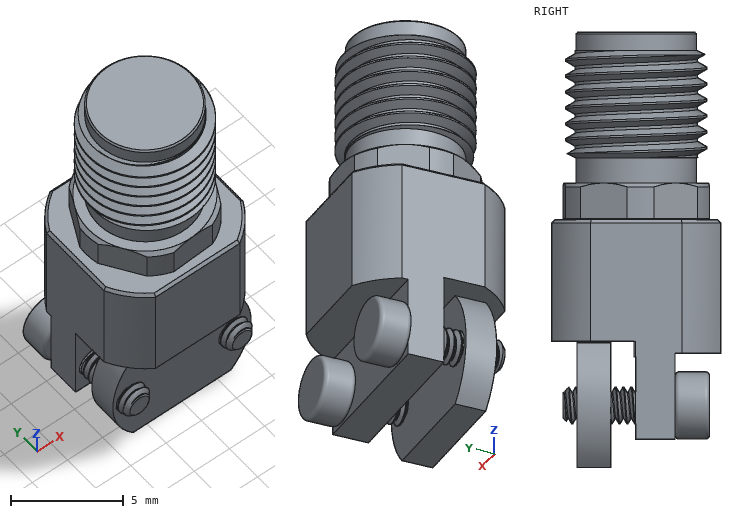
import cadquery as cq
import math

OVERALL_HEIGHT = 19.32

HOUSING_WIDTH = 7.92
HOUSING_DEPTH = 7.5
HOUSING_CORNER_RADIUS = 4.45
HOUSING_TOP = 5.4
HOUSING_TOP_CHAMFER = 0.14
HOUSING_BACK_UNDERSIDE = -0.53
LEG_BOTTOM = -4.34
LEG_FRONT = -0.03
LEG_BACK = 1.72

HEX_ACROSS_FLATS = 6.4
HEX_CORNER_RADIUS = 3.4
HEX_TURN = 33.3
HEX_BOTTOM = HOUSING_TOP + 0.05
HEX_TOP = 7.03
HEX_CHAMFER_WIDTH = 0.2
HEX_CHAMFER_HEIGHT = 0.17
BARREL_RADIUS = 2.68
BARREL_TOP = 13.72
BARREL_CHAMFER = 0.08
BARREL_THREAD_BOTTOM = 8.14
BARREL_THREAD_TOP = 12.92
BARREL_THREAD_RADIUS = 3.14
BARREL_THREAD_ROOT = 2.72
BARREL_THREAD_PITCH = 25.4 / 36
BARREL_CREST_HEIGHT = 8.42
BARREL_THREAD_END_ANGLE = 30
CENTRE_PIN_RADIUS = 0.1
CENTRE_PIN_BOTTOM = -0.7

PLATE_FRONT = -2.63
PLATE_THICKNESS = 1.5
PLATE_RADIUS = 3.93
PLATE_TOP = -0.05
PLATE_BOTTOM = BARREL_TOP - OVERALL_HEIGHT
PLATE_MIDDLE = (PLATE_TOP + PLATE_BOTTOM) / 2

SCREW_SPACING = 5.83
SCREW_PLACES = (-SCREW_SPACING / 2, SCREW_SPACING / 2)
SCREW_HEIGHT = -2.84
SCREW_RADIUS = 0.82
SCREW_ROOT = 0.6
SCREW_PITCH = 0.35
SCREW_CREST_OFFSET = 0.1
SCREW_TIP = -3.26
SCREW_TIP_RADIUS = 0.55
HEAD_RADIUS = 1.5
HEAD_BACK = 3.26
HEAD_FILLET = 0.2

THREAD_FLANK_ANGLE = 30
CREST_WIDTH_RATIO = 1 / 8
THREAD_EMBED = 0.05
SLEEVE_CLEARANCE = 0.1


def thread_ridge(radius, root, pitch, start, end):
    """Right-handed V-shaped ridge round Z, sunk into its core; its crest starts on +X at `start`."""
    half_crest = pitch * CREST_WIDTH_RATIO / 2
    inner = root - THREAD_EMBED
    half_base = half_crest + (radius - inner) * math.tan(math.radians(THREAD_FLANK_ANGLE))
    helix = cq.Wire.makeHelix(pitch, end - start, root)
    ridge = (
        cq.Workplane("XZ")
        .moveTo(inner, -half_base)
        .lineTo(radius, -half_crest)
        .lineTo(radius, half_crest)
        .lineTo(inner, half_base)
        .close()
        .sweep(cq.Workplane(helix), isFrenet=True)
    )
    return ridge.translate((0, 0, start))


def cylinder(radius, bottom, top):
    return cq.Workplane("XY").workplane(offset=bottom).circle(radius).extrude(top - bottom)


def y_cylinder(radius, x, z, back, front):
    return cq.Workplane("XZ", origin=(x, back, z)).circle(radius).extrude(back - front)


def box_between(x, y, z):
    return (
        cq.Workplane("XY")
        .box(x[1] - x[0], y[1] - y[0], z[1] - z[0], centered=False)
        .translate((x[0], y[0], z[0]))
    )


def build_housing():
    half_width = HOUSING_WIDTH / 2
    half_depth = HOUSING_DEPTH / 2
    body = (
        cq.Workplane("XY")
        .workplane(offset=LEG_BOTTOM)
        .rect(HOUSING_WIDTH, HOUSING_DEPTH)
        .extrude(HOUSING_TOP - LEG_BOTTOM)
        .intersect(cylinder(HOUSING_CORNER_RADIUS, LEG_BOTTOM, HOUSING_TOP))
        .faces(">Z")
        .chamfer(HOUSING_TOP_CHAMFER)
    )
    sides = (-half_width, half_width)
    front_step = box_between(sides, (-half_depth, LEG_FRONT), (LEG_BOTTOM, 0))
    back_step = box_between(sides, (LEG_BACK, half_depth), (LEG_BOTTOM, HOUSING_BACK_UNDERSIDE))
    body = body.cut(front_step).cut(back_step)
    body = body.cut(cylinder(CENTRE_PIN_RADIUS, CENTRE_PIN_BOTTOM, HOUSING_TOP))
    for x in SCREW_PLACES:
        body = body.cut(y_cylinder(SCREW_RADIUS, x, SCREW_HEIGHT, LEG_BACK, LEG_FRONT))
    return body


def build_hex():
    height = HEX_TOP - HEX_BOTTOM
    prism = (
        cq.Workplane("XY")
        .workplane(offset=HEX_BOTTOM)
        .polygon(6, HEX_ACROSS_FLATS, circumscribed=True)
        .extrude(height)
        .rotate((0, 0, 0), (0, 0, 1), HEX_TURN)
    )
    corners = (
        cylinder(HEX_CORNER_RADIUS, HEX_BOTTOM, HEX_TOP)
        .faces(">Z")
        .chamfer(HEX_CHAMFER_HEIGHT, HEX_CHAMFER_WIDTH)
    )
    return prism.intersect(corners)


def build_barrel_thread():
    """Ridge trimmed by a sleeve that tapers down to the barrel at both ends."""
    taper = (BARREL_THREAD_RADIUS - BARREL_RADIUS) * math.tan(math.radians(BARREL_THREAD_END_ANGLE))
    sleeve = (
        cq.Workplane("XZ")
        .moveTo(0, BARREL_THREAD_BOTTOM)
        .lineTo(BARREL_RADIUS, BARREL_THREAD_BOTTOM)
        .lineTo(BARREL_THREAD_RADIUS + SLEEVE_CLEARANCE, BARREL_THREAD_BOTTOM + taper)
        .lineTo(BARREL_THREAD_RADIUS + SLEEVE_CLEARANCE, BARREL_THREAD_TOP - taper)
        .lineTo(BARREL_RADIUS, BARREL_THREAD_TOP)
        .lineTo(0, BARREL_THREAD_TOP)
        .close()
        .revolve(360, (0, 0, 0), (0, 1, 0))
    )
    ridge = thread_ridge(
        BARREL_THREAD_RADIUS,
        BARREL_THREAD_ROOT,
        BARREL_THREAD_PITCH,
        BARREL_CREST_HEIGHT - BARREL_THREAD_PITCH,
        BARREL_THREAD_TOP + BARREL_THREAD_PITCH,
    )
    core = cylinder(
        BARREL_THREAD_ROOT,
        BARREL_THREAD_BOTTOM - BARREL_THREAD_PITCH,
        BARREL_THREAD_TOP + BARREL_THREAD_PITCH,
    )
    return core.union(ridge).intersect(sleeve)


def build_connector():
    """Barrel that stands on the housing, with the hex just clear of the housing top."""
    barrel = cylinder(BARREL_RADIUS, HOUSING_TOP, BARREL_TOP).faces(">Z").chamfer(BARREL_CHAMFER)
    centre_pin = cylinder(CENTRE_PIN_RADIUS, CENTRE_PIN_BOTTOM, HOUSING_TOP)
    return build_hex().union(barrel).union(build_barrel_thread()).union(centre_pin)


def build_clamp_plate():
    height = PLATE_TOP - PLATE_BOTTOM
    back = PLATE_FRONT + PLATE_THICKNESS
    plate = (
        cq.Workplane("XZ", origin=(0, back, PLATE_MIDDLE))
        .rect(2 * PLATE_RADIUS, height)
        .extrude(PLATE_THICKNESS)
    )
    disc = y_cylinder(PLATE_RADIUS, 0, PLATE_MIDDLE, back, PLATE_FRONT)
    plate = plate.intersect(disc)
    for x in SCREW_PLACES:
        plate = plate.cut(y_cylinder(SCREW_RADIUS, x, SCREW_HEIGHT, back, PLATE_FRONT))
    return plate


def build_screw(x):
    """Screw built along Z, tip up with its length measured from the leg's back face."""
    length = LEG_BACK - SCREW_TIP
    thread_start = LEG_BACK - LEG_FRONT
    sleeve_radius = SCREW_RADIUS + SLEEVE_CLEARANCE
    sleeve = (
        cylinder(sleeve_radius, thread_start, length)
        .faces(">Z")
        .chamfer(sleeve_radius - SCREW_TIP_RADIUS)
    )
    ridge = thread_ridge(
        SCREW_RADIUS,
        SCREW_ROOT,
        SCREW_PITCH,
        thread_start - SCREW_PITCH + SCREW_CREST_OFFSET,
        length + SCREW_PITCH,
    )
    core = cylinder(SCREW_ROOT, thread_start - SCREW_PITCH, length + SCREW_PITCH)
    shank = cylinder(SCREW_RADIUS, 0, thread_start)
    head = cylinder(HEAD_RADIUS, LEG_BACK - HEAD_BACK, 0).edges().fillet(HEAD_FILLET)
    screw = core.union(ridge).intersect(sleeve).union(shank).union(head)
    return screw.rotate((0, 0, 0), (1, 0, 0), 90).translate((x, LEG_BACK, SCREW_HEIGHT))


housing = build_housing()
connector = build_connector()
clamp_plate = build_clamp_plate()
screws = [build_screw(x).val() for x in SCREW_PLACES]

result = cq.Compound.makeCompound([housing.val(), connector.val(), clamp_plate.val(), *screws])